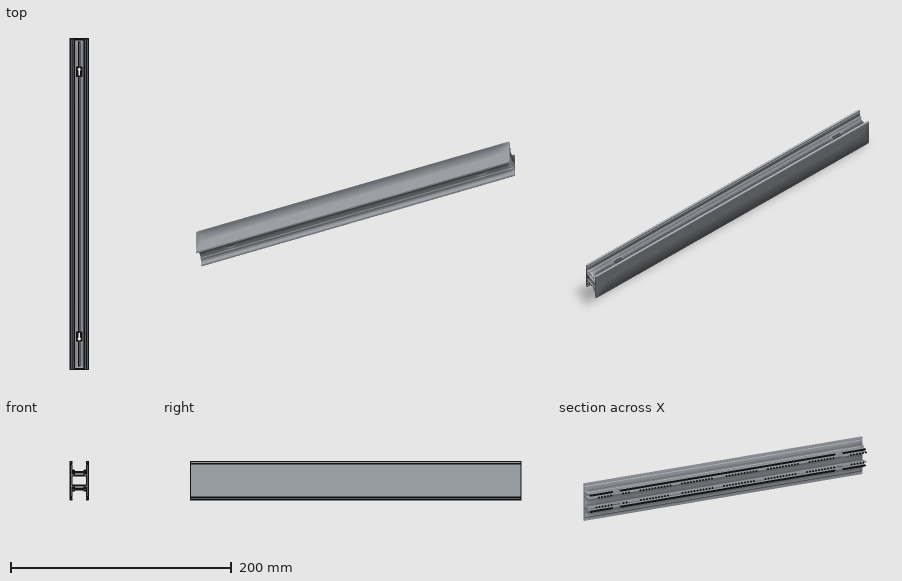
import cadquery as cq

width = 16.5
length = 300.0
height = 35.0

wall = 1.7
edge_chamfer = 0.3
edge_lip_height = 1.9
snap_groove_height = 1.4
snap_groove_depth = 0.8

channel_height = 8.0
web = 1.0
ledge_height = 1.2
slot_height = 2.2
retaining_lip = 1.1
rail_opening = 8.2
rail_nose_chamfer = 0.5
lip_root_fillet = 0.6

strip_length = 297.8
strip_thickness = 1.5
marking_groove_width = 1.0
marking_groove_depth = 0.2
marking_groove_end_gap = 2.0

hole_spacing = 240.0
window_width = 4.6
window_length = 8.4
key_length = 8.2
key_head_diameter = 3.9
key_slot_width = 2.5

inner_width = width - 2 * wall
edge = height / 2
web_bottom = channel_height / 2
web_top = web_bottom + web
ledge_top = web_top + ledge_height
slot_top = ledge_top + slot_height
lip_top = slot_top + retaining_lip
snap_groove_top = edge - edge_lip_height
snap_groove_bottom = snap_groove_top - snap_groove_height

outer_x = width / 2
inner_x = inner_width / 2
rail_x = rail_opening / 2
snap_groove_x = inner_x + snap_groove_depth


def upper_right_section():
    """Quarter of the profile's cross-section: +X half, above the middle plane."""
    return (
        cq.Workplane("XZ", origin=(0, length / 2, 0))
        .moveTo(outer_x, 0)
        .lineTo(outer_x, edge - edge_chamfer)
        .lineTo(outer_x - edge_chamfer, edge)
        .lineTo(inner_x, edge)
        .lineTo(inner_x, snap_groove_top)
        .lineTo(snap_groove_x, snap_groove_top)
        .lineTo(snap_groove_x, snap_groove_bottom + snap_groove_depth)
        .lineTo(inner_x, snap_groove_bottom)
        .lineTo(inner_x, lip_top + lip_root_fillet)
        .radiusArc((inner_x - lip_root_fillet, lip_top), lip_root_fillet)
        .lineTo(rail_x + rail_nose_chamfer, lip_top)
        .lineTo(rail_x, lip_top - rail_nose_chamfer)
        .lineTo(rail_x, slot_top)
        .lineTo(inner_x, slot_top)
        .lineTo(inner_x, ledge_top)
        .lineTo(rail_x + rail_nose_chamfer, ledge_top)
        .lineTo(rail_x, ledge_top - rail_nose_chamfer)
        .lineTo(rail_x, web_top)
        .lineTo(0, web_top)
        .lineTo(0, web_bottom)
        .lineTo(inner_x, web_bottom)
        .lineTo(inner_x, 0)
        .close()
    )


def keyhole(end):
    """Keyhole cutter through both webs, its head towards the given end (+1 or -1 along Y)."""
    middle_y = end * hole_spacing / 2
    head_y = middle_y + end * (key_length - key_head_diameter) / 2
    plane = cq.Workplane("XY")
    head = plane.center(0, head_y).circle(key_head_diameter / 2).extrude(edge, both=True)
    slot = plane.center(0, middle_y).slot2D(key_length, key_slot_width, 90).extrude(edge, both=True)
    return head.union(slot)


def make_profile():
    """Extruded housing: two side walls joined by two webs."""
    quarter = upper_right_section().extrude(length)
    upper_half = quarter.union(quarter.mirror("YZ"))
    profile = upper_half.union(upper_half.mirror("XY")).clean()
    for end in (-1, 1):
        profile = profile.cut(keyhole(end))
    return profile


def make_strip(side):
    """Cover strip in the slot above (side = 1) or below (side = -1) the middle plane."""
    strip = (
        cq.Workplane("XY", origin=(0, 0, slot_top))
        .rect(inner_width, strip_length)
        .extrude(-strip_thickness)
        .faces(">Z").workplane()
        .rect(marking_groove_width, strip_length - 2 * marking_groove_end_gap)
        .cutBlind(-marking_groove_depth)
    )
    windows = (
        cq.Workplane("XY", origin=(0, 0, slot_top))
        .rarray(1, hole_spacing, 1, 2)
        .rect(window_width, window_length)
        .extrude(-strip_thickness)
    )
    strip = strip.cut(windows)
    return strip if side > 0 else strip.mirror("XY")


profile = make_profile()
strips = [make_strip(side) for side in (1, -1)]

result = cq.Compound.makeCompound([profile.val(), *[strip.val() for strip in strips]])